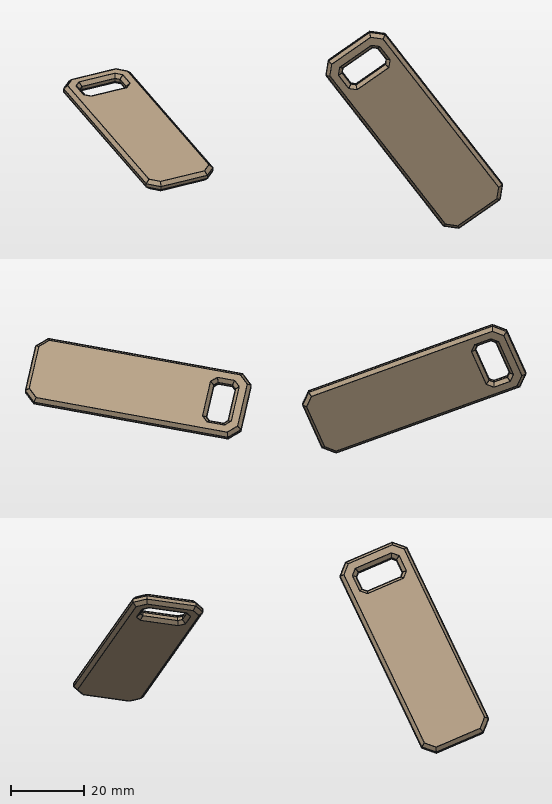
import cadquery as cq

plate_length = 60.0
plate_width = plate_length / 3
plate_thickness = 3.0
plate_corner_cut = 3.0

bevel = plate_thickness / 3

slot_length = 6.0
slot_width = 12.0
slot_corner_cut = 1.0
slot_mouth_margin = 3.0
slot_center_x = -plate_length / 2 + slot_mouth_margin + bevel + slot_length / 2


def octagonal_block(size_x, size_y, corner_cut):
    """Plate-thick rectangular block with its four upright corners cut at 45 degrees."""
    block = cq.Workplane("XY").box(size_x, size_y, plate_thickness, centered=(True, True, False))
    return block.edges("|Z").chamfer(corner_cut)


plate = octagonal_block(plate_length, plate_width, plate_corner_cut)
slot = octagonal_block(slot_length, slot_width, slot_corner_cut).translate((slot_center_x, 0, 0))

result = plate.cut(slot).faces("<Z or >Z").edges().chamfer(bevel)